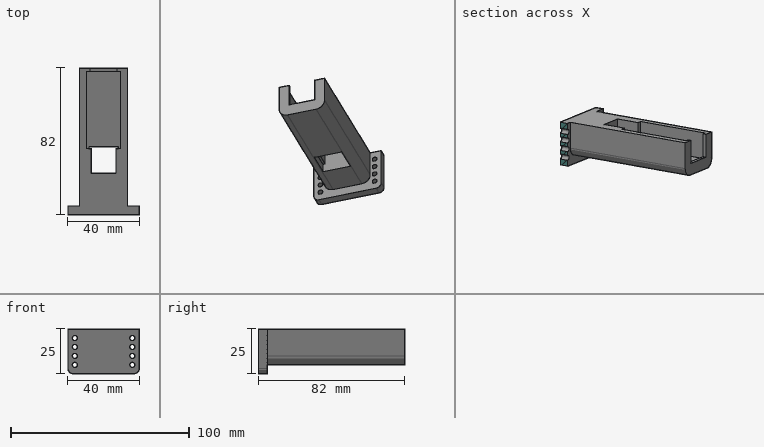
import cadquery as cq

length = 82.0
plate_width = 40.0
plate_height = 25.0
plate_thickness = 5.0
plate_corner_radius = 3.0

arm_width = 27.0
arm_height = 20.0
arm_corner_radius = 5.0

pocket_width = 19.0
pocket_depth = 15.0
end_wall = 2.0
pocket_front = 37.0
pocket_length = length - end_wall - pocket_front
notch_width = 15.1
notch_depth = 13.3

window_width = 13.6
window_front = 23.3
window_length = pocket_front - window_front

floor_opening_width = 16.15
floor_opening_overlap = 1.0
floor_opening_length = window_length + floor_opening_overlap

hole_diameter = 2.7
hole_pitch = 5.0
hole_column_spacing = 32.15
holes_per_column = 4
top_hole_drop = 5.0


def block_below(width, y_start, y_length, z_top, height):
    """Box centred on X, starting at y_start and hanging down from z_top."""
    return (
        cq.Workplane("XY")
        .box(width, y_length, height, centered=(True, False, False))
        .translate((0, y_start, z_top - height))
    )


def rounded_bottom_block(width, y_start, y_length, height, radius):
    """Block under Z = 0 with its two lower lengthwise edges rounded."""
    block = block_below(width, y_start, y_length, 0, height)
    return block.edges("|Y and <Z").fillet(radius)


def plate_holes():
    """Cylinders that cut the two columns of holes."""
    centers = [
        (side * hole_column_spacing / 2, -top_hole_drop - row * hole_pitch)
        for side in (-1, 1)
        for row in range(holes_per_column)
    ]
    return (
        cq.Workplane("XZ")
        .pushPoints(centers)
        .circle(hole_diameter / 2)
        .extrude(-plate_thickness)
    )


plate = rounded_bottom_block(plate_width, 0, plate_thickness, plate_height, plate_corner_radius)
arm = rounded_bottom_block(
    arm_width, plate_thickness, length - plate_thickness, arm_height, arm_corner_radius
)

pocket = block_below(pocket_width, pocket_front, pocket_length, 0, pocket_depth)
notch = block_below(notch_width, length - end_wall, end_wall, 0, notch_depth)
window = block_below(window_width, window_front, window_length, 0, arm_height)
floor_opening = block_below(
    floor_opening_width,
    window_front,
    floor_opening_length,
    -pocket_depth,
    arm_height - pocket_depth,
)

result = plate.union(arm)
for opening in (pocket, notch, window, floor_opening, plate_holes()):
    result = result.cut(opening)